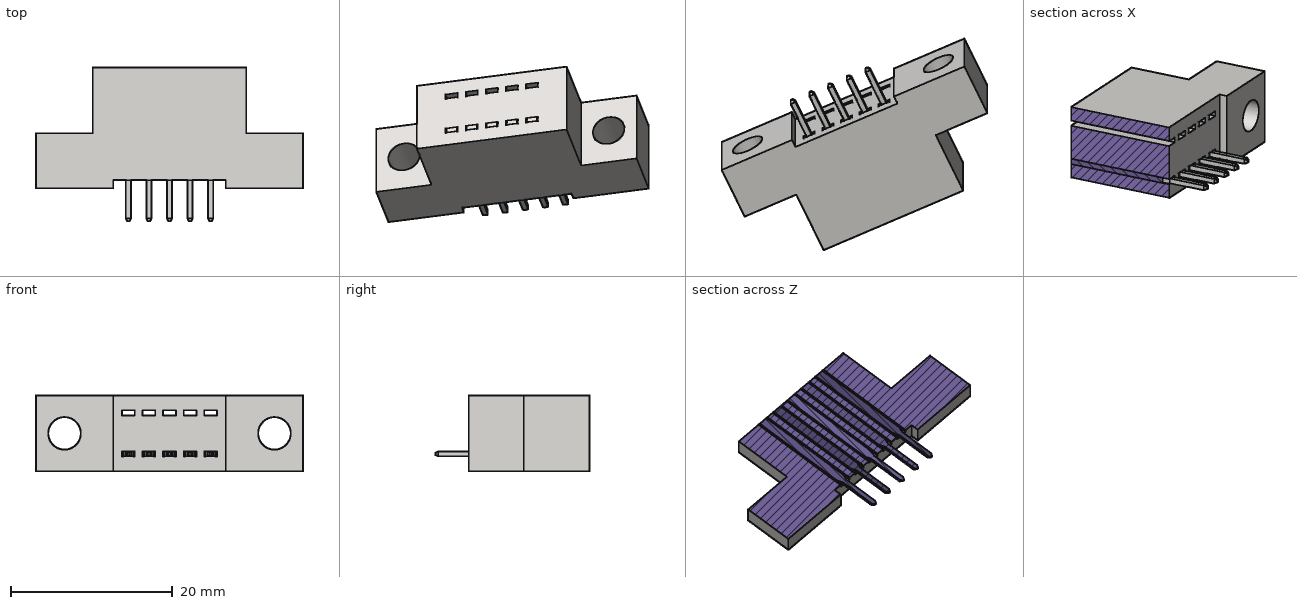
import cadquery as cq

length = 33.02
height = 9.4
housing_depth = 14.95
ear_depth = 6.85
block_width = 19.0

recess_width = 13.87
recess_depth = 1.02

mount_diameter = 4.0
mount_spacing = 25.95

slot_count = 5
slot_pitch = 2.55
slot_width = 1.55
slot_height = 0.63
row_spacing = 2 * slot_pitch

blade_width = 1.25
tail_width = 0.65
taper_start = 0.13
taper_length = 0.75
overall_depth = 19.05
tip_length = 0.35
tip_size = 0.25

column_positions = [(i - (slot_count - 1) / 2) * slot_pitch for i in range(slot_count)]
upper_row_z = row_spacing / 2
lower_row_z = -row_spacing / 2
tip_end_y = housing_depth - overall_depth
tail_end_y = tip_end_y + tip_length
taper_front_y = recess_depth + taper_start
taper_back_y = taper_front_y + taper_length


def make_body():
    """Stepped housing outline with the front recess, extruded over the height."""
    half_length = length / 2
    half_block = block_width / 2
    half_recess = recess_width / 2
    outline = [
        (-half_length, 0),
        (-half_recess, 0),
        (-half_recess, recess_depth),
        (half_recess, recess_depth),
        (half_recess, 0),
        (half_length, 0),
        (half_length, ear_depth),
        (half_block, ear_depth),
        (half_block, housing_depth),
        (-half_block, housing_depth),
        (-half_block, ear_depth),
        (-half_length, ear_depth),
    ]
    return cq.Workplane("XY").polyline(outline).close().extrude(height / 2, both=True)


def make_mounting_holes():
    """Cutters for the two round holes through the ears."""
    return (
        cq.Workplane("XZ")
        .pushPoints([(-mount_spacing / 2, 0), (mount_spacing / 2, 0)])
        .circle(mount_diameter / 2)
        .extrude(-ear_depth)
    )


def make_slots():
    """Cutters for both rows of contact slots, through the full depth."""
    centers = [(x, z) for x in column_positions for z in (lower_row_z, upper_row_z)]
    return cq.Workplane("XZ").pushPoints(centers).rect(slot_width, slot_height).extrude(-housing_depth)


def make_pin(x):
    """One contact pin in the lower row; its height fills the slot."""
    half_blade = blade_width / 2
    half_tail = tail_width / 2
    outline = [
        (-half_tail, tail_end_y),
        (half_tail, tail_end_y),
        (half_tail, taper_front_y),
        (half_blade, taper_back_y),
        (half_blade, housing_depth),
        (-half_blade, housing_depth),
        (-half_blade, taper_back_y),
        (-half_tail, taper_front_y),
    ]
    shank = cq.Workplane("XY").polyline(outline).close().extrude(slot_height / 2, both=True)
    tip = (
        cq.Workplane("XZ", origin=(0, tail_end_y, 0))
        .rect(tail_width, slot_height)
        .workplane(offset=tip_length)
        .rect(tip_size, tip_size)
        .loft(ruled=True)
    )
    return shank.union(tip).translate((x, 0, lower_row_z))


housing = make_body().cut(make_mounting_holes()).cut(make_slots())
pins = [make_pin(x) for x in column_positions]

result = cq.Compound.makeCompound([housing.val(), *[pin.val() for pin in pins]])